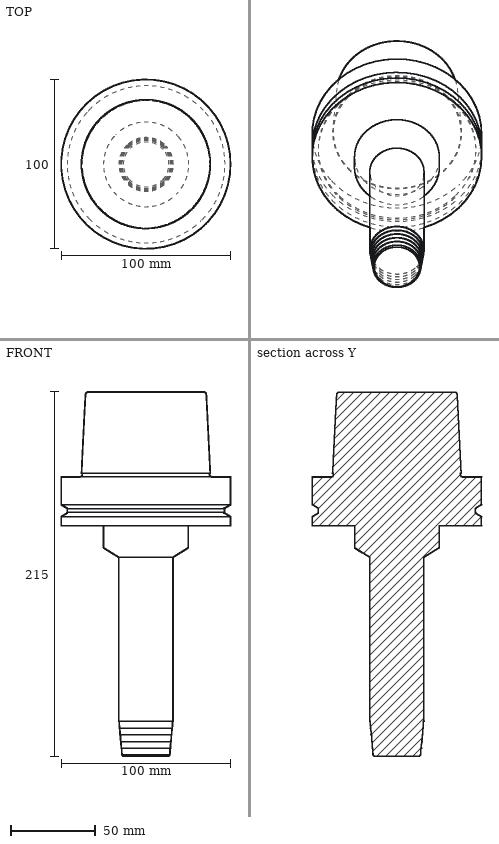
import cadquery as cq
import math

total_height = 215
taper_height = 50.0
flange_height = 29.0
collar_height = 13.0
taper_base_z = total_height - taper_height
flange_bottom_z = taper_base_z - flange_height
collar_bottom_z = flange_bottom_z - collar_height

head_base_radius = 38.0
head_slope = 1 / 20
head_edge_fillet = 2.0
neck_height = 2.0
neck_step = 0.5
root_fillet = 1.3
head_top_radius = head_base_radius - head_slope * (taper_height - neck_height)
neck_radius = head_base_radius - neck_step

flange_diameter = 100.0
flange_radius = flange_diameter / 2
groove_offset = 16.5
groove_floor_width = 2.8
groove_floor_radius = 46.5
groove_floor_fillet = 0.6
groove_flank_height = (flange_radius - groove_floor_radius) * math.tan(math.radians(30))
groove_top_z = taper_base_z - groove_offset
floor_top_z = groove_top_z - groove_flank_height
floor_bottom_z = floor_top_z - groove_floor_width
groove_bottom_z = floor_bottom_z - groove_flank_height

collar_diameter = 50.0
collar_radius = collar_diameter / 2
shank_diameter = 32.0
shank_radius = shank_diameter / 2
shoulder_height = (collar_radius - shank_radius) * math.tan(math.radians(32))
shank_top_z = collar_bottom_z - shoulder_height
collar_edge_fillet = 0.9

tip_height = 20.6
tip_radius = 14.2
tip_chamfer = 0.9
band_count = 5
ledge_width = 0.17


def revolve_profile(points):
    """Turn a half outline of (radius, z) points into a solid about the Z axis."""
    return cq.Workplane("XZ").polyline(points).close().revolve(360, (0, 0), (0, 1))


def make_head():
    profile = [
        (0, taper_base_z),
        (neck_radius, taper_base_z),
        (neck_radius, taper_base_z + neck_height),
        (head_base_radius, taper_base_z + neck_height),
        (head_top_radius, total_height),
        (0, total_height),
    ]
    return revolve_profile(profile).faces(">Z").edges().fillet(head_edge_fillet)


def make_root_fillet():
    """Concave ring blending the neck into the flange face."""
    outer_radius = neck_radius + root_fillet
    arc_inset = root_fillet * (1 - math.sqrt(0.5))
    return (
        cq.Workplane("XZ")
        .moveTo(neck_radius, taper_base_z)
        .lineTo(outer_radius, taper_base_z)
        .threePointArc(
            (neck_radius + arc_inset, taper_base_z + arc_inset),
            (neck_radius, taper_base_z + root_fillet),
        )
        .close()
        .revolve(360, (0, 0), (0, 1))
    )


def make_flange():
    flange = revolve_profile([
        (0, flange_bottom_z),
        (flange_radius, flange_bottom_z),
        (flange_radius, groove_bottom_z),
        (groove_floor_radius, floor_bottom_z),
        (groove_floor_radius, floor_top_z),
        (flange_radius, groove_top_z),
        (flange_radius, taper_base_z),
        (0, taper_base_z),
    ])
    floor_edges = cq.selectors.BoxSelector(
        (-flange_radius, -flange_radius, floor_bottom_z - groove_floor_fillet),
        (flange_radius, flange_radius, floor_top_z + groove_floor_fillet),
    )
    return flange.edges("%CIRCLE").edges(floor_edges).fillet(groove_floor_fillet)


def make_collar():
    collar = revolve_profile([
        (0, shank_top_z),
        (shank_radius, shank_top_z),
        (collar_radius, collar_bottom_z),
        (collar_radius, flange_bottom_z),
        (0, flange_bottom_z),
    ])
    shoulder_edge = cq.selectors.BoxSelector(
        (-flange_radius, -flange_radius, collar_bottom_z - collar_edge_fillet),
        (flange_radius, flange_radius, collar_bottom_z + collar_edge_fillet),
    )
    return collar.edges("%CIRCLE").edges(shoulder_edge).fillet(collar_edge_fillet)


def make_shank():
    band_height = (tip_height - tip_chamfer) / band_count
    band_inset = (shank_radius - tip_radius) / band_count
    bands = []
    for i in range(band_count):
        lower_radius = tip_radius + i * band_inset
        upper_radius = lower_radius + band_inset - ledge_width
        lower_z = tip_chamfer + i * band_height
        bands += [(lower_radius, lower_z), (upper_radius, lower_z + band_height)]
    return revolve_profile([
        (0, 0),
        (tip_radius - tip_chamfer, 0),
        *bands,
        (shank_radius, tip_height),
        (shank_radius, shank_top_z),
        (0, shank_top_z),
    ])


result = (
    make_flange()
    .union(make_head())
    .union(make_root_fillet())
    .union(make_collar())
    .union(make_shank())
)